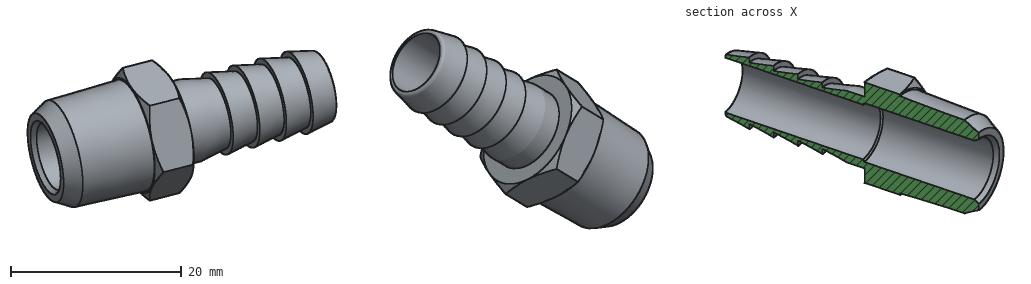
import cadquery as cq
import math

TOTAL_LENGTH = 35.5
NOSE_LENGTH = 2.0
HEX_START = 11.0
HEX_END = 16.0

NOSE_RADIUS = 5.4
THREAD_TIP_RADIUS = 6.5
THREAD_ROOT_RADIUS = 6.78

HEX_SIDES = 6
HEX_ACROSS_FLATS = 14.0
HEX_CHAMFER_ANGLE = 30.0

BARB_COUNT = 5
BARB_PITCH = 3.4
BARB_RADIUS = 5.0
BARB_SMALL_RADIUS = 4.3
COLLAR_END = TOTAL_LENGTH - BARB_COUNT * BARB_PITCH
TIP_ROUND = 0.4

BORE_RADIUS = 3.75
WIDE_BORE_RADIUS = 4.05
WIDE_BORE_DEPTH = HEX_END
DRILL_POINT_ANGLE = 118.0
MOUTH_RADIUS = 4.47
MOUTH_DEPTH = 0.6


def revolve_about_y(points):
    return cq.Workplane("XY").polyline(points).close().revolve(360, (0, 0, 0), (0, 1, 0))


def make_threaded_end():
    return revolve_about_y([
        (0, 0),
        (NOSE_RADIUS, 0),
        (THREAD_TIP_RADIUS, NOSE_LENGTH),
        (THREAD_ROOT_RADIUS, HEX_START),
        (0, HEX_START),
    ])


def make_hexagon():
    flat_radius = HEX_ACROSS_FLATS / 2
    corner_radius = flat_radius / math.cos(math.pi / HEX_SIDES)
    height = HEX_END - HEX_START
    prism = (
        cq.Workplane("XZ", origin=(0, HEX_END, 0))
        .polygon(HEX_SIDES, 2 * corner_radius)
        .extrude(height)
    )
    corner_drop = (corner_radius - flat_radius) * math.tan(math.radians(HEX_CHAMFER_ANGLE))
    envelope = revolve_about_y([
        (0, HEX_START),
        (flat_radius, HEX_START),
        (corner_radius, HEX_START + corner_drop),
        (corner_radius, HEX_END - corner_drop),
        (flat_radius, HEX_END),
        (0, HEX_END),
    ])
    return prism.intersect(envelope)


def make_hose_tail():
    points = [(0, HEX_END), (BARB_RADIUS, HEX_END)]
    for barb in range(BARB_COUNT):
        barb_start = COLLAR_END + barb * BARB_PITCH
        points.append((BARB_RADIUS, barb_start))
        points.append((BARB_SMALL_RADIUS, barb_start + BARB_PITCH))
    points.append((0, TOTAL_LENGTH))
    return revolve_about_y(points).faces(">Y").edges().fillet(TIP_ROUND)


def make_bore():
    cone_length = (WIDE_BORE_RADIUS - BORE_RADIUS) / math.tan(math.radians(DRILL_POINT_ANGLE / 2))
    return revolve_about_y([
        (0, 0),
        (MOUTH_RADIUS, 0),
        (WIDE_BORE_RADIUS, MOUTH_DEPTH),
        (WIDE_BORE_RADIUS, WIDE_BORE_DEPTH),
        (BORE_RADIUS, WIDE_BORE_DEPTH + cone_length),
        (BORE_RADIUS, TOTAL_LENGTH),
        (0, TOTAL_LENGTH),
    ])


body = make_threaded_end().union(make_hexagon()).union(make_hose_tail())
result = body.cut(make_bore())